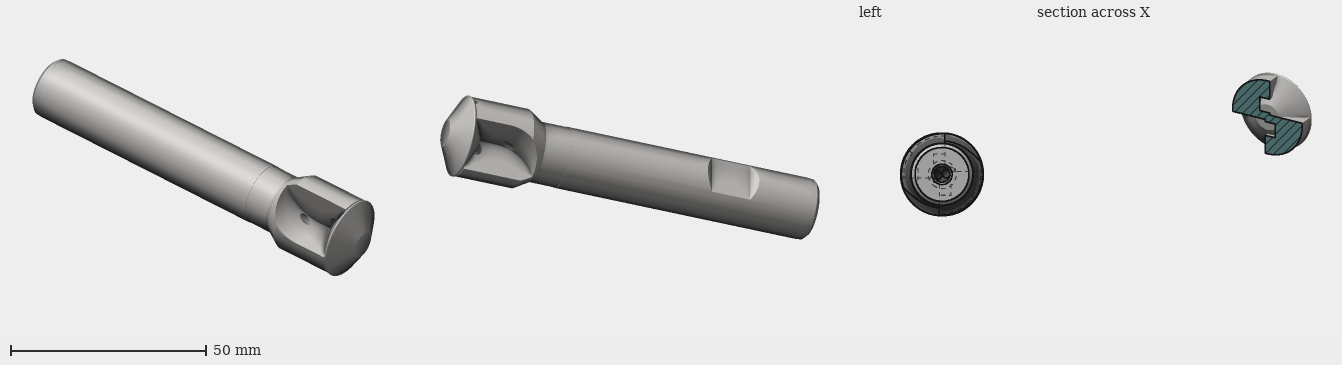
import cadquery as cq
import math

total_length = 100.01

shank_radius = 16.0 / 2
relief_radius = 15.8 / 2
rear_chamfer = 1.0
rear_relief_length = 2.2
shank_end = 68.3
neck_end = 75.4

flat_center_x = 24.0
flat_length = 10.4
flat_depth = 1.85

head_radius = 20.8 / 2
head_start = 79.6
head_end = 95.2

cutter_radius = 21.18 / 2
rim_rounding = 0.3
cutter_half_angle = math.radians(60)
cutter_tip_radius = 3.58
sharp_rim_radius = cutter_radius + rim_rounding * (1 / math.cos(cutter_half_angle) - 1)

flute_wall_offset = 0.75
flute_floor_height = 0.85
flute_runout_radius = 10.0
flute_runout_start = 86.3

bore_radius = 4.0 / 2
bore_mouth_radius = 5.2 / 2
bore_mouth_depth = bore_mouth_radius - bore_radius
bore_depth = 78.5
bore_tip_half_angle = math.radians(59)
branch_radius = 2.1 / 2
branch_outlet = cq.Vector(83.15, -2.1, 1.32)
branch_direction = cq.Vector(1.0, -0.25, 0.28)
branch_rearward_reach = 5.5
branch_forward_reach = 3.0

pocket_radius = 4.0 / 2
pocket_center_x = 92.2
pocket_center_z = 3.3
pocket_depth = 3.0

notch_radius = 2.1 / 2
notch_center_x = 95.4
notch_angle = math.radians(30)
notch_depth = 1.0

half_turn = 180.0


def revolve_about_x(points):
    """Solid of revolution about X from (x, radius) points."""
    return cq.Workplane("XY").polyline(points).close().revolve(360, (0, 0, 0), (1, 0, 0))


def on_both_sides(shape):
    """The shape together with its copy half a turn about X."""
    return shape.union(shape.rotate((0, 0, 0), (1, 0, 0), half_turn))


def make_body():
    return revolve_about_x([
        (0, 0),
        (0, relief_radius - rear_chamfer),
        (rear_chamfer, relief_radius),
        (rear_relief_length, relief_radius),
        (rear_relief_length, shank_radius),
        (shank_end, shank_radius),
        (shank_end, relief_radius),
        (neck_end, relief_radius),
        (head_start, head_radius),
        (head_end, head_radius),
        (head_end, 0),
    ])


def make_cutter():
    """Double cone with flat ends and a rounded rim."""
    cone_length = (sharp_rim_radius - cutter_tip_radius) / math.tan(cutter_half_angle)
    rim_x = total_length - cone_length
    cutter_back = rim_x - cone_length
    sharp_cutter = revolve_about_x([
        (cutter_back, 0),
        (cutter_back, cutter_tip_radius),
        (rim_x, sharp_rim_radius),
        (total_length, cutter_tip_radius),
        (total_length, 0),
    ])
    rim_edge = sharp_cutter.edges(cq.selectors.RadiusNthSelector(-1))
    return rim_edge.fillet(rim_rounding)


def make_clamping_flat():
    half_floor = flat_length / 2
    half_mouth = half_floor + flat_depth
    floor_y = shank_radius - flat_depth
    return (
        cq.Workplane("XY")
        .moveTo(flat_center_x - half_floor, floor_y)
        .lineTo(flat_center_x + half_floor, floor_y)
        .lineTo(flat_center_x + half_mouth, shank_radius)
        .lineTo(flat_center_x - half_mouth, shank_radius)
        .close()
        .extrude(shank_radius, both=True)
    )


def make_flute():
    """Open on the -Y, +Z side; its floor curves up to a vertical rear end."""
    runout_top = flute_floor_height + flute_runout_radius
    rear_x = flute_runout_start - flute_runout_radius
    arc_mid_offset = flute_runout_radius * math.sin(math.radians(45))
    profile = (
        cq.Workplane("XZ", origin=(0, -flute_wall_offset, 0))
        .moveTo(rear_x, runout_top)
        .threePointArc(
            (flute_runout_start - arc_mid_offset, runout_top - arc_mid_offset),
            (flute_runout_start, flute_floor_height),
        )
        .lineTo(total_length, flute_floor_height)
        .lineTo(total_length, runout_top)
        .close()
    )
    return profile.extrude(head_radius)


def make_supply_bore():
    tip_length = bore_radius / math.tan(bore_tip_half_angle)
    return revolve_about_x([
        (0, 0),
        (0, bore_mouth_radius),
        (bore_mouth_depth, bore_radius),
        (bore_depth, bore_radius),
        (bore_depth + tip_length, 0),
    ])


def make_branch_hole():
    axis = branch_direction.normalized()
    start = branch_outlet - axis * branch_rearward_reach
    length = branch_rearward_reach + branch_forward_reach
    return cq.Workplane(cq.Solid.makeCylinder(branch_radius, length, start, axis))


def make_wall_pocket():
    start = cq.Vector(pocket_center_x, -flute_wall_offset, pocket_center_z)
    return cq.Workplane(cq.Solid.makeCylinder(pocket_radius, pocket_depth, start, cq.Vector(0, 1, 0)))


def make_rim_notch():
    outward = cq.Vector(0, math.cos(notch_angle), math.sin(notch_angle))
    start = cq.Vector(notch_center_x, 0, 0) + outward * (head_radius - notch_depth)
    return cq.Workplane(cq.Solid.makeCylinder(notch_radius, 2 * notch_depth, start, outward))


body = make_body().cut(make_clamping_flat())
for feature in (make_flute(), make_wall_pocket(), make_rim_notch()):
    body = body.cut(on_both_sides(feature))
body = body.cut(make_supply_bore()).cut(on_both_sides(make_branch_hole()))

result = body.union(make_cutter())